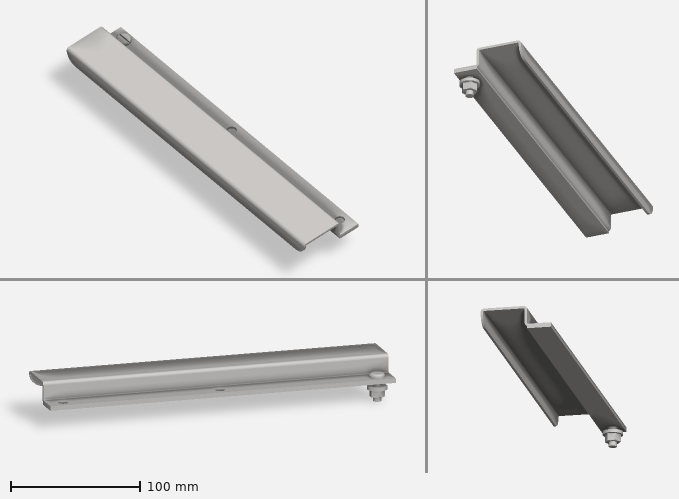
import cadquery as cq
import math

LENGTH = 279.5
DEPTH = 55.5
HEIGHT = 33.5
SHEET = 2.0
INNER_BEND_RADIUS = 0.8
OUTER_BEND_RADIUS = INNER_BEND_RADIUS + SHEET
WEB_BACK = 37.0
WEB_FRONT = WEB_BACK - SHEET
FLANGE_TOP = 19.0
FLANGE_BOTTOM = FLANGE_TOP - SHEET
LIP_BOTTOM = 20.7
LIP_CORNER_RADIUS = 10.5

HOLE_DIAMETER = 7.8
HOLE_PITCH = 127.0
HOLE_COUNT = 3
SCREW_X = 12.5
SCREW_Y = DEPTH - 8.0

STRIP_THICKNESS = 1.7
STRIP_FRONT = 36.5
STRIP_BOTTOM = FLANGE_BOTTOM - STRIP_THICKNESS

SHANK_DIAMETER = 6.5
HEAD_DIAMETER = 12.0
HEAD_HEIGHT = 3.4
HEAD_ROUNDING = 2.0
SLOT_WIDTH = 1.7
SLOT_DEPTH = 2.0

NUT_BOTTOM = 3.5
NUT_HEIGHT = 6.0
NUT_ACROSS_FLATS = 11.0
NUT_ACROSS_CORNERS = NUT_ACROSS_FLATS / math.cos(math.radians(30))
CHAMFER_ANGLE = 30.0
WASHER_BOTTOM = NUT_BOTTOM + NUT_HEIGHT
WASHER_THICKNESS = 2.5
WASHER_DIAMETER = 16.0


def cylinder(diameter, bottom, height):
    """Upright cylinder on the screw axis."""
    base = cq.Workplane("XY", origin=(SCREW_X, SCREW_Y, bottom))
    return base.circle(diameter / 2).extrude(height)


def sheet_box(y_min, y_max, z_min, z_max):
    """Full-length block between the given Y and Z limits."""
    block = cq.Workplane("XY").box(LENGTH, y_max - y_min, z_max - z_min, centered=False)
    return block.translate((0, y_min, z_min))


def bend_edge(rail, y, z):
    """Full-length edge of the rail at the given Y and Z."""
    return rail.edges(cq.selectors.NearestToPointSelector((LENGTH / 2, y, z)))


def make_rail():
    """Bent sheet with front lip, top, web and drilled rear flange."""
    lip = sheet_box(0, SHEET, LIP_BOTTOM, HEIGHT)
    top = sheet_box(0, WEB_BACK, HEIGHT - SHEET, HEIGHT)
    web = sheet_box(WEB_FRONT, WEB_BACK, FLANGE_BOTTOM, HEIGHT)
    flange = sheet_box(WEB_FRONT, DEPTH, FLANGE_BOTTOM, FLANGE_TOP)
    rail = lip.union(top).union(web).union(flange)

    outer_bends = [(0, HEIGHT), (WEB_BACK, HEIGHT), (WEB_FRONT, FLANGE_BOTTOM)]
    inner_bends = [(SHEET, HEIGHT - SHEET), (WEB_FRONT, HEIGHT - SHEET), (WEB_BACK, FLANGE_TOP)]
    for y, z in outer_bends:
        rail = bend_edge(rail, y, z).fillet(OUTER_BEND_RADIUS)
    for y, z in inner_bends:
        rail = bend_edge(rail, y, z).fillet(INNER_BEND_RADIUS)

    for x in (0, LENGTH):
        corner = cq.selectors.NearestToPointSelector((x, SHEET / 2, LIP_BOTTOM))
        rail = rail.edges(corner).fillet(LIP_CORNER_RADIUS)

    centres = [(SCREW_X + i * HOLE_PITCH, SCREW_Y) for i in range(HOLE_COUNT)]
    holes = cq.Workplane("XY").pushPoints(centres).circle(HOLE_DIAMETER / 2).extrude(HEIGHT)
    return rail.cut(holes)


def make_strip():
    """Flat strip under the flange, drilled only for the screw."""
    strip = sheet_box(STRIP_FRONT, DEPTH, STRIP_BOTTOM, FLANGE_BOTTOM)
    return strip.cut(cylinder(HOLE_DIAMETER, 0, HEIGHT))


def make_screw():
    """Round-edged slotted head on a plain shank."""
    head = cylinder(HEAD_DIAMETER, FLANGE_TOP, HEAD_HEIGHT).faces(">Z").edges().fillet(HEAD_ROUNDING)
    slot_middle = FLANGE_TOP + HEAD_HEIGHT - SLOT_DEPTH / 2
    slot = cq.Workplane("XY").box(HEAD_DIAMETER, SLOT_WIDTH, SLOT_DEPTH)
    slot = slot.translate((SCREW_X, SCREW_Y, slot_middle))
    return cylinder(SHANK_DIAMETER, 0, FLANGE_TOP).union(head.cut(slot))


def make_nut():
    """Hexagon nut, two flats facing along X, corners chamfered below."""
    base = cq.Workplane("XY", origin=(SCREW_X, SCREW_Y, NUT_BOTTOM))
    hexagon = base.transformed(rotate=(0, 0, 90)).polygon(6, NUT_ACROSS_CORNERS).extrude(NUT_HEIGHT)
    flat_radius = NUT_ACROSS_FLATS / 2
    cone_top_radius = flat_radius + NUT_HEIGHT / math.tan(math.radians(CHAMFER_ANGLE))
    cone = cq.Workplane(
        cq.Solid.makeCone(flat_radius, cone_top_radius, NUT_HEIGHT, cq.Vector(SCREW_X, SCREW_Y, NUT_BOTTOM))
    )
    return hexagon.intersect(cone).cut(cylinder(SHANK_DIAMETER, 0, HEIGHT))


def make_washer():
    """Plain flat washer resting on the nut."""
    disc = cylinder(WASHER_DIAMETER, WASHER_BOTTOM, WASHER_THICKNESS)
    return disc.cut(cylinder(SHANK_DIAMETER, 0, HEIGHT))


rail = make_rail()
strip = make_strip()
screw = make_screw()
nut = make_nut()
washer = make_washer()

result = cq.Compound.makeCompound(
    [rail.solids().val(), strip.solids().val(), screw.solids().val(), nut.solids().val(), washer.solids().val()]
)